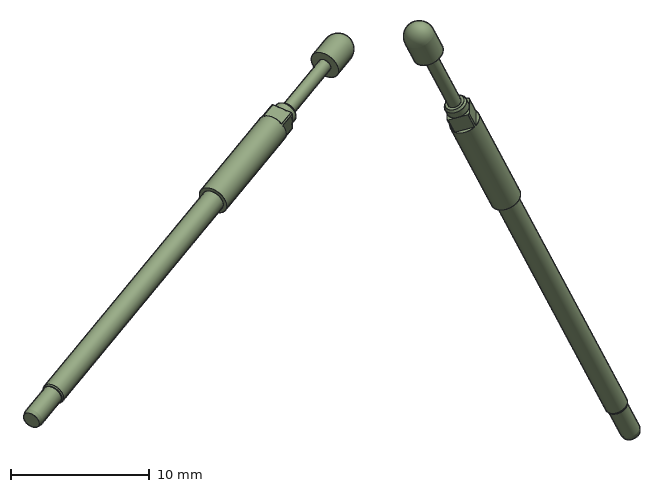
import cadquery as cq
import math

total_length = 44.3

head_diameter = 2.3
body_diameter = head_diameter
stem_diameter = 1.0
collar_diameter = 1.73
tube_diameter = 1.73
tail_diameter = 1.5

square_across_flats = 1.73

head_length = 3.0
stem_length = 5.3
collar_length = 0.7
square_length = 1.35
body_length = 8.37
tail_length = 2.95

collar_chamfer = (0.18, 0.15)
tube_chamfer = (0.15, 0.05)
tail_chamfer = (0.3, 0.1)

tip_y = total_length / 2
tail_end_y = -total_length / 2
head_base_y = tip_y - head_length
collar_top_y = head_base_y - stem_length
square_top_y = collar_top_y - collar_length
body_top_y = square_top_y - square_length
tube_top_y = body_top_y - body_length
tube_end_y = tail_end_y + tail_length


def cylinder(diameter, top_y, bottom_y):
    """Round section on the Y axis between two stations."""
    return cq.Workplane("XZ", origin=(0, top_y, 0)).circle(diameter / 2).extrude(top_y - bottom_y)


def domed_head():
    """Cylindrical head closed by a hemisphere at its free end."""
    radius = head_diameter / 2
    dome_base_y = tip_y - radius
    dome_mid = radius * math.sqrt(0.5)
    return (
        cq.Workplane("XY")
        .moveTo(0, head_base_y)
        .lineTo(radius, head_base_y)
        .lineTo(radius, dome_base_y)
        .threePointArc((dome_mid, dome_base_y + dome_mid), (0, tip_y))
        .close()
        .revolve(360, (0, 0, 0), (0, 1, 0))
    )


def chamfered_section(diameter, plain_y, chamfered_y, chamfer):
    """Round section on the Y axis whose edge at chamfered_y is broken."""
    radius = diameter / 2
    chamfer_length, chamfer_depth = chamfer
    chamfer_start_y = chamfered_y + math.copysign(chamfer_length, plain_y - chamfered_y)
    return (
        cq.Workplane("XY")
        .moveTo(0, plain_y)
        .lineTo(radius, plain_y)
        .lineTo(radius, chamfer_start_y)
        .lineTo(radius - chamfer_depth, chamfered_y)
        .lineTo(0, chamfered_y)
        .close()
        .revolve(360, (0, 0, 0), (0, 1, 0))
    )


def square_drive():
    """Four flats on a length of the body diameter."""
    square = (
        cq.Workplane("XZ", origin=(0, square_top_y, 0))
        .rect(square_across_flats, square_across_flats)
        .extrude(square_length)
    )
    return square.intersect(cylinder(body_diameter, square_top_y, body_top_y))


head = domed_head()
stem = cylinder(stem_diameter, head_base_y, collar_top_y)
collar = chamfered_section(collar_diameter, square_top_y, collar_top_y, collar_chamfer)
body = cylinder(body_diameter, body_top_y, tube_top_y)
tube = chamfered_section(tube_diameter, tube_top_y, tube_end_y, tube_chamfer)
tail = chamfered_section(tail_diameter, tube_end_y, tail_end_y, tail_chamfer)

result = head
for section in (stem, collar, square_drive(), body, tube, tail):
    result = result.union(section)